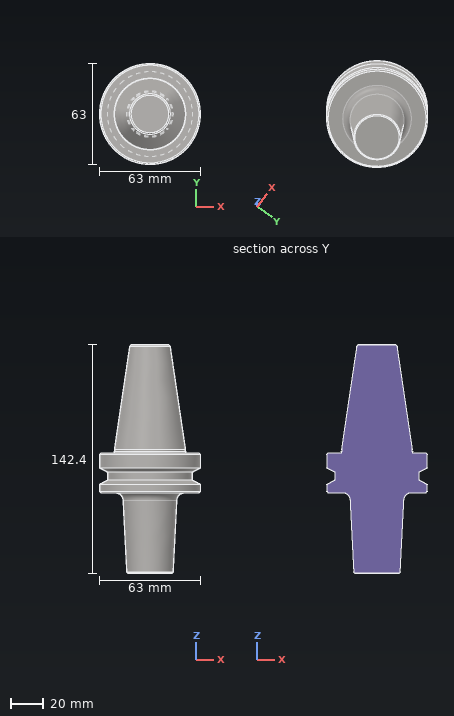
import cadquery as cq
import math

total_height = 142.4

taper_ratio = 7 / 24
gauge_radius = 22.2
gauge_z = 77.0
shank_end_chamfer = 1.0
shank_end_radius = gauge_radius - (total_height - gauge_z) * taper_ratio / 2

relief_radius = 22.1
collar_radius = 22.4
collar_top_z = 75.9

flange_radius = 31.5
flange_top_z = 75.0
flange_bottom_z = 50.0
flange_chamfer = 1.0
groove_root_radius = 26.5
groove_center_z = 60.5
groove_mouth_width = 10.1
groove_flank_height = 2.5
groove_top_z = groove_center_z + groove_mouth_width / 2
groove_bottom_z = groove_center_z - groove_mouth_width / 2

nose_end_radius = 14.5
nose_base_radius = 16.8
nose_end_chamfer = 0.7
blend_radius = 4.5
blend_start_z = flange_bottom_z - blend_radius
blend_offset_45 = blend_radius * (1 - math.sqrt(0.5))

profile = (
    cq.Workplane("XZ")
    .moveTo(0, 0)
    .lineTo(nose_end_radius - nose_end_chamfer, 0)
    .lineTo(nose_end_radius, nose_end_chamfer)
    .lineTo(nose_base_radius, blend_start_z)
    .threePointArc(
        (nose_base_radius + blend_offset_45, flange_bottom_z - blend_offset_45),
        (nose_base_radius + blend_radius, flange_bottom_z),
    )
    .lineTo(flange_radius - flange_chamfer, flange_bottom_z)
    .lineTo(flange_radius, flange_bottom_z + flange_chamfer)
    .lineTo(flange_radius, groove_bottom_z)
    .lineTo(groove_root_radius, groove_bottom_z + groove_flank_height)
    .lineTo(groove_root_radius, groove_top_z - groove_flank_height)
    .lineTo(flange_radius, groove_top_z)
    .lineTo(flange_radius, flange_top_z - flange_chamfer)
    .lineTo(flange_radius - flange_chamfer, flange_top_z)
    .lineTo(collar_radius, flange_top_z)
    .lineTo(collar_radius, collar_top_z)
    .lineTo(relief_radius, collar_top_z)
    .lineTo(relief_radius, gauge_z)
    .lineTo(gauge_radius, gauge_z)
    .lineTo(shank_end_radius, total_height - shank_end_chamfer)
    .lineTo(shank_end_radius - shank_end_chamfer, total_height)
    .lineTo(0, total_height)
    .close()
)

result = profile.revolve(360, (0, 0, 0), (0, 1, 0))